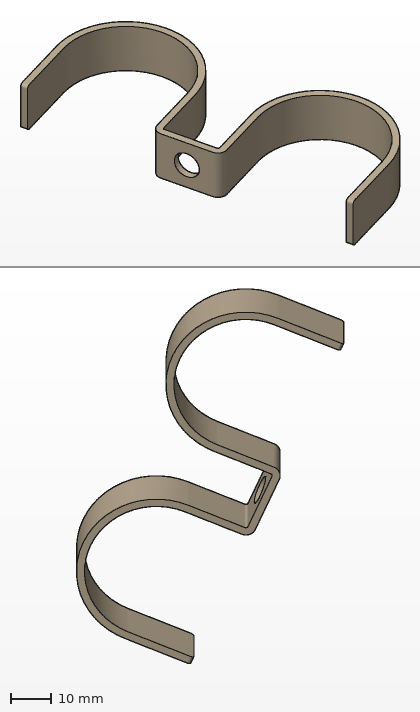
import cadquery as cq

length = 96.0
depth = 38.0
height = 14.0
thickness = 2.0

loop_radius = 20.0
bend_radius = 2.6
tip_radius = 1.0
hole_diameter = 7.2

margin = 0.1

loop_center_x = length / 2 - loop_radius
straight_end_y = depth - loop_radius
inner_loop_radius = loop_radius - thickness
inner_leg_x = loop_center_x - loop_radius
web_half_width = inner_leg_x + thickness
inner_bend_radius = bend_radius - thickness


def make_loop(side):
    """Half-round band with its straight free leg and inner leg."""
    def block(radius):
        left = side * loop_center_x - radius
        right = side * loop_center_x + radius
        return (
            cq.Workplane("XY")
            .moveTo(left, 0)
            .lineTo(right, 0)
            .lineTo(right, straight_end_y)
            .threePointArc((side * loop_center_x, straight_end_y + radius), (left, straight_end_y))
            .close()
            .extrude(height)
        )

    band = block(loop_radius).cut(block(inner_loop_radius))
    free_end = cq.selectors.BoxSelector(
        (side * length / 2, -margin, -margin),
        (side * (length / 2 - thickness), margin, height + margin),
    )
    return band.edges("|X").edges(free_end).fillet(tip_radius)


def make_web():
    """Flat mounting strip joining the two inner legs."""
    return cq.Workplane("XY").box(
        2 * web_half_width, thickness, height, centered=(True, False, False)
    )


def round_bends(body):
    """Round the outside and inside corners where the web meets the legs."""
    outside = cq.selectors.BoxSelector(
        (-web_half_width - margin, -margin, 0),
        (web_half_width + margin, margin, height),
    )
    inside = cq.selectors.BoxSelector(
        (-inner_leg_x - margin, thickness - margin, 0),
        (inner_leg_x + margin, thickness + margin, height),
    )
    body = body.edges("|Z").edges(outside).fillet(bend_radius)
    return body.edges("|Z").edges(inside).fillet(inner_bend_radius)


def make_hole():
    """Screw hole through the middle of the web."""
    return (
        cq.Workplane("XZ")
        .center(0, height / 2)
        .circle(hole_diameter / 2)
        .extrude(-thickness)
    )


bracket = make_loop(-1).union(make_loop(1)).union(make_web())
result = round_bends(bracket).cut(make_hole())